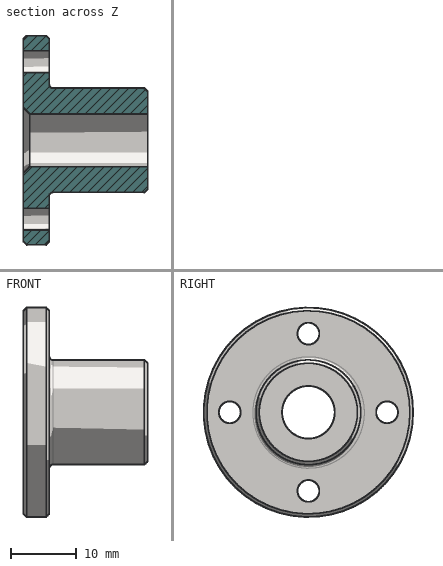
import cadquery as cq

flange_diameter = 32.0
flange_thickness = 4.0
total_length = 19.0
hub_diameter = flange_diameter / 2
edge_size = 0.5

bore_diameter = hub_diameter / 2
bore_chamfer = 1.0

hole_count = 4
hole_diameter = 3.3
hole_circle_diameter = 24.0


def flanged_body():
    """Solid flange and hub, revolved about the X axis from a half profile."""
    flange_radius = flange_diameter / 2
    hub_radius = hub_diameter / 2
    fillet_drop = edge_size * (1 - 0.5**0.5)
    profile = (
        cq.Workplane("XY")
        .lineTo(0, flange_radius - edge_size)
        .lineTo(edge_size, flange_radius)
        .lineTo(flange_thickness - edge_size, flange_radius)
        .lineTo(flange_thickness, flange_radius - edge_size)
        .lineTo(flange_thickness, hub_radius + edge_size)
        .threePointArc(
            (flange_thickness + fillet_drop, hub_radius + fillet_drop),
            (flange_thickness + edge_size, hub_radius),
        )
        .lineTo(total_length - edge_size, hub_radius)
        .lineTo(total_length, hub_radius - edge_size)
        .lineTo(total_length, 0)
        .close()
    )
    return profile.revolve(360, (0, 0, 0), (1, 0, 0))


def bore():
    """Cutter for the through bore and its 45 degree lead-in."""
    bore_radius = bore_diameter / 2
    profile = (
        cq.Workplane("XY")
        .lineTo(0, bore_radius + bore_chamfer)
        .lineTo(bore_chamfer, bore_radius)
        .lineTo(total_length, bore_radius)
        .lineTo(total_length, 0)
        .close()
    )
    return profile.revolve(360, (0, 0, 0), (1, 0, 0))


def mounting_holes():
    """Cutter for the ring of holes through the flange."""
    return (
        cq.Workplane("YZ")
        .polarArray(hole_circle_diameter / 2, 0, 360, hole_count)
        .circle(hole_diameter / 2)
        .extrude(flange_thickness)
    )


result = flanged_body().cut(bore()).cut(mounting_holes())